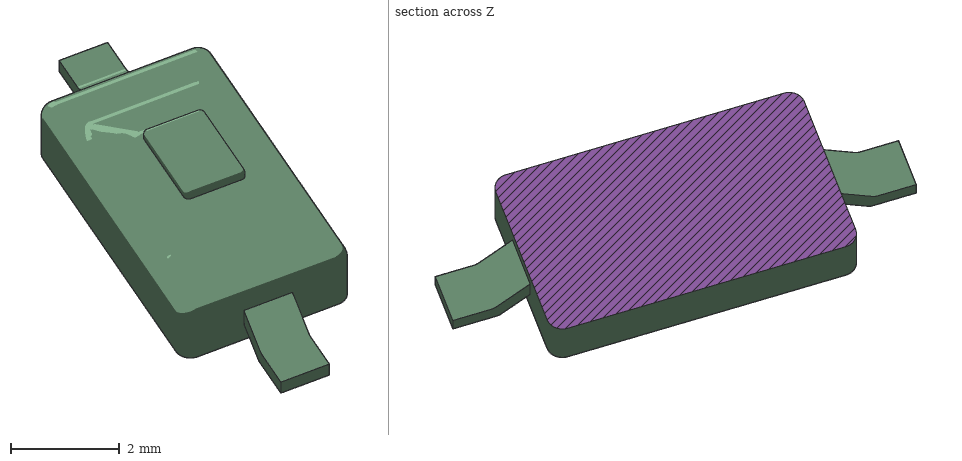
import cadquery as cq
import math

body_length = 6.0
body_width = 3.5
body_height = 1.3
body_radius = 0.3

collar_base_length = 4.0
collar_base_width = 2.5
collar_top_length = 2.0
collar_top_width = 1.5
collar_height = 0.5
collar_radius = 0.3

button_length = 1.8
button_width = 1.25
button_height = 0.2
button_radius = 0.1

overall_length = 9.0
lead_width = 1.0
lead_thickness = 0.3
lead_foot_length = 0.8
lead_angle = math.radians(35)
lead_bend_radius = 0.2
lead_embed = 0.1

collar_top = body_height + collar_height


def make_housing():
    """Block with its upright and top edges rounded."""
    block = cq.Workplane("XY").box(body_length, body_width, body_height, centered=(True, True, False))
    return block.edges("|Z or >Z").fillet(body_radius)


def add_collar(housing):
    """Truncated pyramid blended into the housing top, with rounded corners and rim."""
    collar = (
        cq.Workplane("XY", origin=(0, 0, body_height))
        .rect(collar_base_length, collar_base_width)
        .workplane(offset=collar_height)
        .rect(collar_top_length, collar_top_width)
        .loft(ruled=True)
    )
    margin = 0.05
    select = cq.selectors.BoxSelector(
        (-collar_base_length / 2 - margin, -collar_base_width / 2 - margin, body_height - margin),
        (collar_base_length / 2 + margin, collar_base_width / 2 + margin, collar_top + margin),
    )
    return housing.union(collar).edges(select).fillet(collar_radius)


def make_button():
    """Flat button with its upright and top edges rounded."""
    button = (
        cq.Workplane("XY", origin=(0, 0, collar_top))
        .box(button_length, button_width, button_height, centered=(True, True, False))
    )
    return button.edges("|Z or >Z").fillet(button_radius)


def make_lead(side):
    """Flat foot that bends up into the end of the housing; side is +1 or -1 along X."""
    end = overall_length / 2
    inner = body_length / 2 - lead_embed
    fold = end - lead_foot_length
    lower_fold = fold - lead_thickness * math.tan(lead_angle / 2)
    upper_height = lead_thickness + (fold - inner) * math.tan(lead_angle)
    lower_height = (lower_fold - inner) * math.tan(lead_angle)
    outline = [
        (end, 0),
        (end, lead_thickness),
        (fold, lead_thickness),
        (inner, upper_height),
        (inner, lower_height),
        (lower_fold, 0),
    ]
    lead = (
        cq.Workplane("XZ")
        .polyline([(side * x, z) for x, z in outline])
        .close()
        .extrude(lead_width / 2, both=True)
    )
    upper_bend = cq.selectors.NearestToPointSelector((side * fold, 0, lead_thickness))
    return lead.edges("|Y").edges(upper_bend).fillet(lead_bend_radius)


result = add_collar(make_housing()).union(make_button())
for side in (-1, 1):
    result = result.union(make_lead(side))